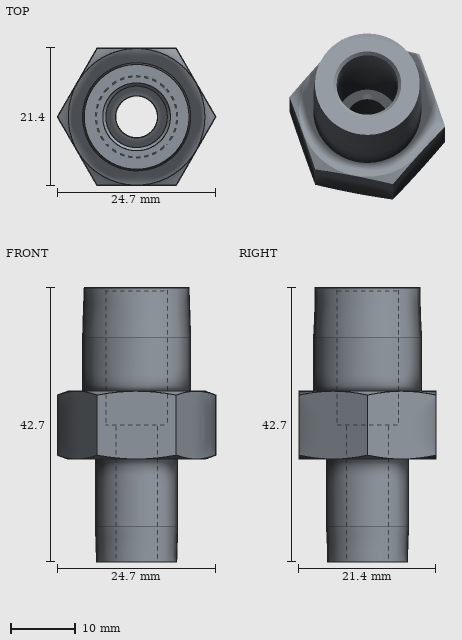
import cadquery as cq
import math

total_length = 42.7
bore_dia = 6.5

across_flats = 21.35
hex_bottom = 16.0
hex_top = 26.6
hex_face_dia = 21.27
hex_chamfer_angle = 20.0

lower_dia = 12.8
lower_tip_dia = 12.47
lower_taper_length = 5.55

upper_dia = 16.85
upper_tip_dia = 16.3
upper_taper_length = 7.78

socket_dia = 9.55
socket_mouth_dia = 10.55
socket_depth = 21.35
mouth_depth = (socket_mouth_dia - socket_dia) / 2


def revolve_profile(points):
    """Turn an outline of (radius, height) points around the Z axis."""
    return cq.Workplane("XZ").polyline(points).close().revolve(360, (0, 0, 0), (0, 1, 0))


def make_hexagon():
    """Hexagon with corners on the X axis and both ends turned to a cone."""
    across_corners = across_flats / math.cos(math.radians(30))
    corner_radius = across_corners / 2
    face_radius = hex_face_dia / 2
    corner_drop = (corner_radius - face_radius) * math.tan(math.radians(hex_chamfer_angle))
    prism = (
        cq.Workplane("XY")
        .workplane(offset=hex_bottom)
        .polygon(6, across_corners)
        .extrude(hex_top - hex_bottom)
    )
    turned_envelope = revolve_profile([
        (0, hex_bottom),
        (face_radius, hex_bottom),
        (corner_radius, hex_bottom + corner_drop),
        (corner_radius, hex_top - corner_drop),
        (face_radius, hex_top),
        (0, hex_top),
    ])
    return prism.intersect(turned_envelope)


def make_spigots():
    """Both round ends as one turned body, meeting inside the hexagon."""
    hex_middle = (hex_bottom + hex_top) / 2
    return revolve_profile([
        (0, 0),
        (lower_tip_dia / 2, 0),
        (lower_dia / 2, lower_taper_length),
        (lower_dia / 2, hex_middle),
        (upper_dia / 2, hex_middle),
        (upper_dia / 2, total_length - upper_taper_length),
        (upper_tip_dia / 2, total_length),
        (0, total_length),
    ])


def make_passage():
    """Through bore, stepped out to the socket and its conical mouth."""
    socket_floor = total_length - socket_depth
    return revolve_profile([
        (0, 0),
        (bore_dia / 2, 0),
        (bore_dia / 2, socket_floor),
        (socket_dia / 2, socket_floor),
        (socket_dia / 2, total_length - mouth_depth),
        (socket_mouth_dia / 2, total_length),
        (0, total_length),
    ])


result = make_hexagon().union(make_spigots()).cut(make_passage())